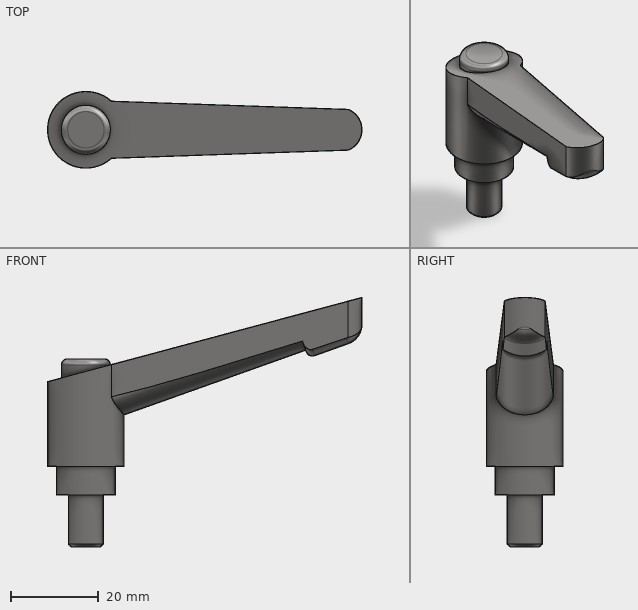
import cadquery as cq
import math

overall_length = 71.75
hub_radius = 8.75
tip_x = overall_length - hub_radius

top_slope = math.tan(math.radians(15))
tip_top_z = 38.5

collar_radius = 6.75
collar_height = 6.5
stud_radius = 4.0
stud_bottom_z = -18.45
stud_chamfer = 0.7
button_radius = 5.6
button_top_z = 24.55
button_round = 1.4

arm_root_half_width = 6.5
arm_tip_half_width = 4.65
tip_round_length = 3.15

under_angle = 19.6
under_axis_z = 15.85
under_radius = 6.8
pad_radius = 8.7
pad_start = 50.8
pad_end = 60.5
pad_start_round = 1.5
pad_end_round = 4.65
pad_end_angle = 56
end_cone_length = 2.15
under_length = 71.75

stock_size = 2 * overall_length


def top_z(x):
    """Height of the sloping top face at x."""
    return tip_top_z - top_slope * (tip_x - x)


def make_below_top():
    """Stock lying below the sloping top face."""
    return (
        cq.Workplane("XZ")
        .moveTo(-stock_size, top_z(-stock_size))
        .lineTo(stock_size, top_z(stock_size))
        .lineTo(stock_size, -stock_size)
        .lineTo(-stock_size, -stock_size)
        .close()
        .extrude(stock_size / 2, both=True)
    )


def make_arm_plan():
    """Tapered upright prism with a round tip."""
    root_x = math.sqrt(hub_radius**2 - arm_root_half_width**2)
    round_x = tip_x - tip_round_length
    taper = (arm_root_half_width - arm_tip_half_width) / (round_x - root_x)
    start_half_width = arm_root_half_width + taper * root_x
    return (
        cq.Workplane("XY")
        .moveTo(0, -start_half_width)
        .lineTo(round_x, -arm_tip_half_width)
        .threePointArc((tip_x, 0), (round_x, arm_tip_half_width))
        .lineTo(0, start_half_width)
        .close()
        .extrude(overall_length)
    )


def make_underbody():
    """Turned underside with its finger pad, filled out above the turning axis."""
    slope_angle = math.radians(under_angle)
    axis_plane = cq.Plane(
        origin=(0, 0, under_axis_z),
        xDir=(math.cos(slope_angle), 0, math.sin(slope_angle)),
        normal=(0, -1, 0),
    )
    round_center_radius = pad_radius - pad_start_round
    corner = pad_start_round * math.sqrt(0.5)
    end_center_radius = pad_radius - pad_end_round

    def end_round_point(degrees):
        angle = math.radians(degrees)
        return (
            pad_end + pad_end_round * math.sin(angle),
            -end_center_radius - pad_end_round * math.cos(angle),
        )

    end_x, end_y = end_round_point(pad_end_angle)
    cone_drop = end_cone_length * math.tan(math.radians(pad_end_angle))
    turned = (
        cq.Workplane(axis_plane)
        .lineTo(0, -under_radius)
        .lineTo(pad_start, -under_radius)
        .lineTo(pad_start, -round_center_radius)
        .threePointArc(
            (pad_start + pad_start_round - corner, -round_center_radius - corner),
            (pad_start + pad_start_round, -pad_radius),
        )
        .lineTo(pad_end, -pad_radius)
        .threePointArc(end_round_point(pad_end_angle / 2), (end_x, end_y))
        .lineTo(end_x + end_cone_length, end_y + cone_drop)
        .lineTo(under_length, end_y + cone_drop)
        .lineTo(under_length, 0)
        .close()
        .revolve(360, (0, 0), (1, 0))
    )
    above_axis = (
        cq.Workplane(axis_plane)
        .rect(stock_size, stock_size / 2)
        .extrude(stock_size / 2, both=True)
        .translate(axis_plane.yDir * (stock_size / 4))
    )
    return turned.union(above_axis)


def make_stem():
    """Collar, plain stud and push button on the hub axis."""
    collar = cq.Workplane("XY").circle(collar_radius).extrude(-collar_height)
    stud = (
        cq.Workplane("XY")
        .circle(stud_radius)
        .extrude(stud_bottom_z)
        .faces("<Z")
        .chamfer(stud_chamfer)
    )
    button = (
        cq.Workplane("XY")
        .circle(button_radius)
        .extrude(button_top_z)
        .faces(">Z")
        .edges()
        .fillet(button_round)
    )
    return collar.union(stud).union(button)


below_top = make_below_top()
hub = cq.Workplane("XY").circle(hub_radius).extrude(overall_length).intersect(below_top)
arm = make_arm_plan().intersect(make_underbody()).intersect(below_top)
result = hub.union(arm).union(make_stem())